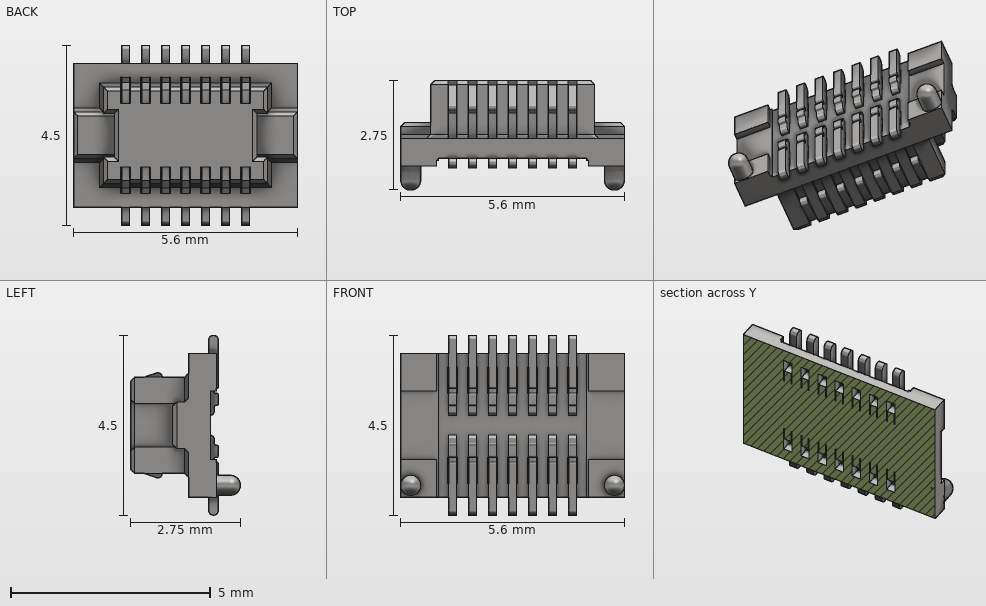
import cadquery as cq
import math


base_length = 5.6
base_height = 3.6
center_depth = 0.5
margin_depth = 0.55
pad_depth = 0.695
margin_length = 0.945
pad_length = 0.9
pad_height = 0.945

bevel = 0.1
tongue_length = 4.1
tongue_height = 2.41
tongue_rise = 1.45
end_notch_height = 1.1
end_notch_depth = 0.27
plinth_height = 1.165
plinth_rise = 0.4

peg_radius = 0.25
peg_straight = 0.35
peg_z = -1.5

contact_count = 7
row_span = 3.0
pitch = row_span / (contact_count - 1)
contact_width = 0.2
slot_width = 0.23
slot_inner_z = 0.795
slot_outer_z = 1.45

lead_thickness = 0.245
lead_tip_z = 2.25
lead_strip_end_z = 0.92
bump_outer_z = 0.805
bump_inner_z = 0.5
lead_tail_z = 0.245
recess_depth = 0.1
tail_round = 0.105
edge_round = 0.05
step_round = 0.035
notch_round = 0.015

beam_tip_y = 1.33
beam_z = 1.13
crest_start_y = 0.825
crest_start_z = 1.305
crest_top_y = 0.785
crest_top_z = 1.315
crest_end_y = 0.66
crest_end_z = 1.23
crest_foot_y = 0.63


def block(length, height, y_start, y_end):
    """Box centred on the Y axis, spanning y_start to y_end."""
    return cq.Workplane("ZX", origin=(0, y_start, 0)).rect(height, length).extrude(y_end - y_start)


def flare(length, height):
    """45-degree skirt on the base plate, narrowing to length x height at its top."""
    return (
        cq.Workplane("ZX")
        .rect(height + 2 * bevel, length + 2 * bevel)
        .extrude(bevel, taper=45)
    )


def rounded_path(corners):
    """Open YZ path through (y, z, radius) corners; a radius of 0 leaves the corner sharp."""
    path = cq.Workplane("YZ").moveTo(*corners[0][:2])
    for before, corner, after in zip(corners, corners[1:], corners[2:]):
        radius = corner[2]
        if radius == 0:
            path = path.lineTo(*corner[:2])
            continue
        point = cq.Vector(*corner[:2])
        to_before = (cq.Vector(*before[:2]) - point).normalized()
        to_after = (cq.Vector(*after[:2]) - point).normalized()
        half_angle = to_before.getAngle(to_after) / 2
        setback = radius / math.tan(half_angle)
        arc_start = point + to_before * setback
        arc_middle = point + (to_before + to_after).normalized() * (radius / math.sin(half_angle) - radius)
        arc_end = point + to_after * setback
        path = path.lineTo(arc_start.x, arc_start.y)
        path = path.threePointArc((arc_middle.x, arc_middle.y), (arc_end.x, arc_end.y))
    return path.lineTo(*corners[-1][:2])


def make_base():
    center = block(base_length, base_height, -center_depth, 0)
    margin = block(margin_length, base_height, -margin_depth, 0)
    pad = block(pad_length, pad_height, -pad_depth, 0)
    base = center
    for side in (-1, 1):
        base = base.union(margin.translate((side * (base_length - margin_length) / 2, 0, 0)))
        for level in (-1, 1):
            pad_x = side * (base_length - pad_length) / 2
            pad_z = level * (base_height - pad_height) / 2
            base = base.union(pad.translate((pad_x, 0, pad_z)))
    return base


def make_tongue():
    tongue = block(tongue_length, tongue_height, 0, tongue_rise)
    notch = block(2 * end_notch_depth, end_notch_height, 0, tongue_rise)
    for side in (-1, 1):
        tongue = tongue.cut(notch.translate((side * tongue_length / 2, 0, 0)))
    tongue = tongue.faces(">Y").chamfer(bevel)
    return tongue.union(flare(tongue_length, tongue_height))


def make_plinth():
    plinth = block(base_length, plinth_height, 0, plinth_rise).faces(">Y").chamfer(bevel)
    foot = flare(base_length, plinth_height).intersect(block(base_length, base_height, 0, bevel))
    return plinth.union(foot)


def make_peg(x):
    shank = cq.Workplane("XZ", origin=(x, -pad_depth, peg_z)).circle(peg_radius).extrude(peg_straight)
    dome = cq.Workplane("XY").sphere(peg_radius).translate((x, -pad_depth - peg_straight, peg_z))
    return shank.union(dome)


def make_slot():
    """Contact slot of the upper row: through the base, and open along the side of the tongue."""
    through_base = cq.Workplane("XY").box(
        slot_width, center_depth, slot_outer_z - slot_inner_z, centered=(True, False, False)
    )
    along_tongue = cq.Workplane("XY").box(
        slot_width, tongue_rise, slot_outer_z - slot_inner_z, centered=(True, False, False)
    )
    slot = through_base.translate((0, -center_depth, 0)).union(along_tongue)
    return slot.translate((0, 0, slot_inner_z))


def make_lead():
    top_y = -center_depth
    bottom_y = top_y - lead_thickness
    recess_y = bottom_y + recess_depth
    tip_center_y = (top_y + bottom_y) / 2
    tip_start_z = lead_tip_z - lead_thickness / 2
    corners = [
        (bottom_y, tip_start_z, 0),
        (bottom_y, lead_strip_end_z, edge_round),
        (recess_y, lead_strip_end_z, notch_round),
        (recess_y, bump_outer_z, notch_round),
        (bottom_y, bump_outer_z, edge_round),
        (bottom_y, bump_inner_z, step_round),
        (recess_y, bump_inner_z, edge_round),
        (recess_y, lead_tail_z, tail_round),
        (top_y, lead_tail_z, 0),
        (top_y, tip_start_z, 0),
    ]
    outline = rounded_path(corners).threePointArc((tip_center_y, lead_tip_z), corners[0][:2]).close()
    return outline.extrude(contact_width / 2, both=True)


def make_beam():
    return (
        cq.Workplane("YZ")
        .moveTo(-center_depth, slot_inner_z)
        .lineTo(beam_tip_y, slot_inner_z)
        .lineTo(beam_tip_y, beam_z)
        .lineTo(crest_start_y, crest_start_z)
        .threePointArc((crest_top_y, crest_top_z), (crest_end_y, crest_end_z))
        .lineTo(crest_foot_y, beam_z)
        .lineTo(-center_depth, beam_z)
        .close()
        .extrude(contact_width / 2, both=True)
    )


body = make_base().union(make_plinth()).union(make_tongue())
for peg_side in (-1, 1):
    body = body.union(make_peg(peg_side * (base_length / 2 - peg_radius)))

upper_slot = make_slot()
upper_contact = make_lead().union(make_beam())
contact_rows = [
    (upper_slot, upper_contact),
    (upper_slot.mirror("XY"), upper_contact.mirror("XY")),
]
for position in range(contact_count):
    contact_x = position * pitch - row_span / 2
    for row_slot, row_contact in contact_rows:
        body = body.cut(row_slot.translate((contact_x, 0, 0)))
        body = body.union(row_contact.translate((contact_x, 0, 0)))

result = body